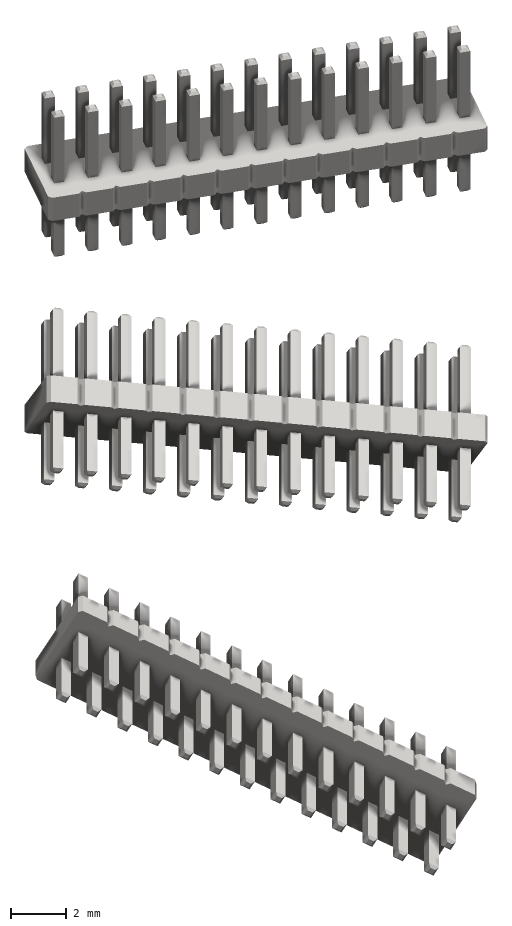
import cadquery as cq


pins_per_row = 13
row_count = 2
housing_length = 16.51
pitch = housing_length / pins_per_row

housing_width = 3.4
housing_height = 1.02
corner_chamfer = 0.13

pin_width = 0.4
pin_tip_chamfer = 0.1
overall_height = 6.3
pin_below = 2.3


def housing_segment():
    """One pitch of the housing, standing on Z = 0, with chamfered upright corners."""
    block = cq.Workplane("XY").box(housing_width, pitch, housing_height, centered=(True, True, False))
    return block.edges("|Z").chamfer(corner_chamfer)


def pin():
    """One square pin reaching through the housing, chamfered around both tips."""
    bar = (
        cq.Workplane("XY")
        .workplane(offset=-pin_below)
        .box(pin_width, pin_width, overall_height, centered=(True, True, False))
    )
    return bar.faces("<Z or >Z").edges().chamfer(pin_tip_chamfer)


def repeat_on_grid(item, columns):
    """Copies of an item on a pitch-spaced grid centred on the origin, pins_per_row along Y."""
    shape = item.val()
    grid = cq.Workplane("XY").rarray(pitch, pitch, columns, pins_per_row)
    return grid.eachpoint(lambda place: shape.moved(place), combine=False)


housing = repeat_on_grid(housing_segment(), 1).combine()

pins = repeat_on_grid(pin(), row_count)

result = housing.union(pins)